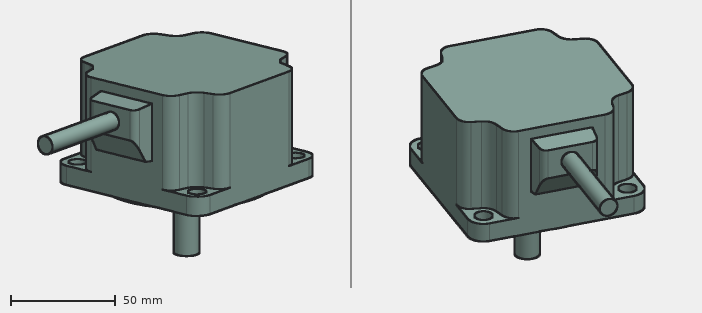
import cadquery as cq
import math

side = 90.0
half_side = side / 2
overall_length = 151
overall_height = 94.0
housing_height = 57.0
flange_thickness = 9.7
flange_corner_radius = 8.0

hole_inset = 8.2
hole_diameter = 8.8
scallop_radius = 7.4
shoulder_radius = 6.6
shoulder_inset = 23.0

pilot_diameter = 83.0
pilot_height = 2.3
shaft_diameter = 12.4

grommet_width = 31.4
grommet_top_drop = 5.6
grommet_height = 28.7
grommet_depth = 11.2
grommet_taper = 7
grommet_corner_radius = 3.3
bevel_start_depth = 4.2
bevel_end_drop = 22.2

cable_diameter = 9.0
cable_drop = 14.6


def make_flange():
    flange = cq.Workplane("XY").rect(side, side).extrude(flange_thickness)
    return flange.edges("|Z").fillet(flange_corner_radius)


def make_corner_cutter():
    """Scallop for the +X +Y corner: shoulder arc, tangent line, scallop arc, mirrored."""
    center_dx = shoulder_radius - hole_inset
    center_dy = shoulder_inset - hole_inset
    radius_sum = scallop_radius + shoulder_radius
    center_distance = math.hypot(center_dx, center_dy)
    normal_angle = math.atan2(center_dy, center_dx) - math.acos(radius_sum / center_distance)

    def scallop_point(angle):
        return (hole_inset + scallop_radius * math.cos(angle),
                hole_inset + scallop_radius * math.sin(angle))

    def shoulder_point(angle):
        return (shoulder_radius - shoulder_radius * math.cos(angle),
                shoulder_inset - shoulder_radius * math.sin(angle))

    def place(inset):
        return (half_side - inset[0], half_side - inset[1])

    def place_mirrored(inset):
        return (half_side - inset[1], half_side - inset[0])

    shoulder_start = shoulder_point(0)
    shoulder_middle = shoulder_point(normal_angle / 2)
    shoulder_end = shoulder_point(normal_angle)
    scallop_start = scallop_point(normal_angle)
    scallop_middle = scallop_point(math.pi / 4)

    return (
        cq.Workplane("XY", origin=(0, 0, flange_thickness))
        .moveTo(half_side, half_side)
        .lineTo(*place(shoulder_start))
        .threePointArc(place(shoulder_middle), place(shoulder_end))
        .lineTo(*place(scallop_start))
        .threePointArc(place(scallop_middle), place_mirrored(scallop_start))
        .lineTo(*place_mirrored(shoulder_end))
        .threePointArc(place_mirrored(shoulder_middle), place_mirrored(shoulder_start))
        .close()
        .extrude(housing_height - flange_thickness)
    )


def make_body():
    body = (
        cq.Workplane("XY", origin=(0, 0, flange_thickness))
        .rect(side, side)
        .extrude(housing_height - flange_thickness)
    )
    cutter = make_corner_cutter()
    for quarter in range(4):
        body = body.cut(cutter.rotate((0, 0, 0), (0, 0, 1), 90 * quarter))
    return body


def make_grommet():
    middle_height = housing_height - grommet_top_drop - grommet_height / 2
    block = (
        cq.Workplane("XZ", origin=(0, -half_side, middle_height))
        .rect(grommet_width, grommet_height)
        .extrude(grommet_depth, taper=grommet_taper)
    )
    block = block.faces("<Y").edges("<X or >X").fillet(grommet_corner_radius)

    bottom_drop = grommet_top_drop + grommet_height
    bevel_start_drop = bottom_drop - bevel_start_depth * math.tan(math.radians(grommet_taper))
    start_y = -half_side - bevel_start_depth
    end_y = -half_side - grommet_depth
    bevel = (
        cq.Workplane("YZ")
        .moveTo(start_y, housing_height - bevel_start_drop)
        .lineTo(end_y, housing_height - bevel_end_drop)
        .lineTo(end_y, housing_height - bottom_drop)
        .lineTo(start_y, housing_height - bottom_drop)
        .close()
        .extrude(grommet_width / 2, both=True)
    )
    return block.cut(bevel)


def make_shaft_end():
    pilot = cq.Workplane("XY").circle(pilot_diameter / 2).extrude(-pilot_height)
    shaft = cq.Workplane("XY").circle(shaft_diameter / 2).extrude(housing_height - overall_height)
    return pilot.union(shaft)


def make_cable():
    return (
        cq.Workplane("XZ", origin=(0, -half_side, housing_height - cable_drop))
        .circle(cable_diameter / 2)
        .extrude(overall_length - side)
    )


def make_corner_holes():
    pitch = side - 2 * hole_inset
    return (
        cq.Workplane("XY")
        .rect(pitch, pitch, forConstruction=True)
        .vertices()
        .circle(hole_diameter / 2)
        .extrude(flange_thickness)
    )


result = (
    make_flange()
    .union(make_body())
    .union(make_shaft_end())
    .cut(make_corner_holes())
    .union(make_grommet())
    .union(make_cable())
)